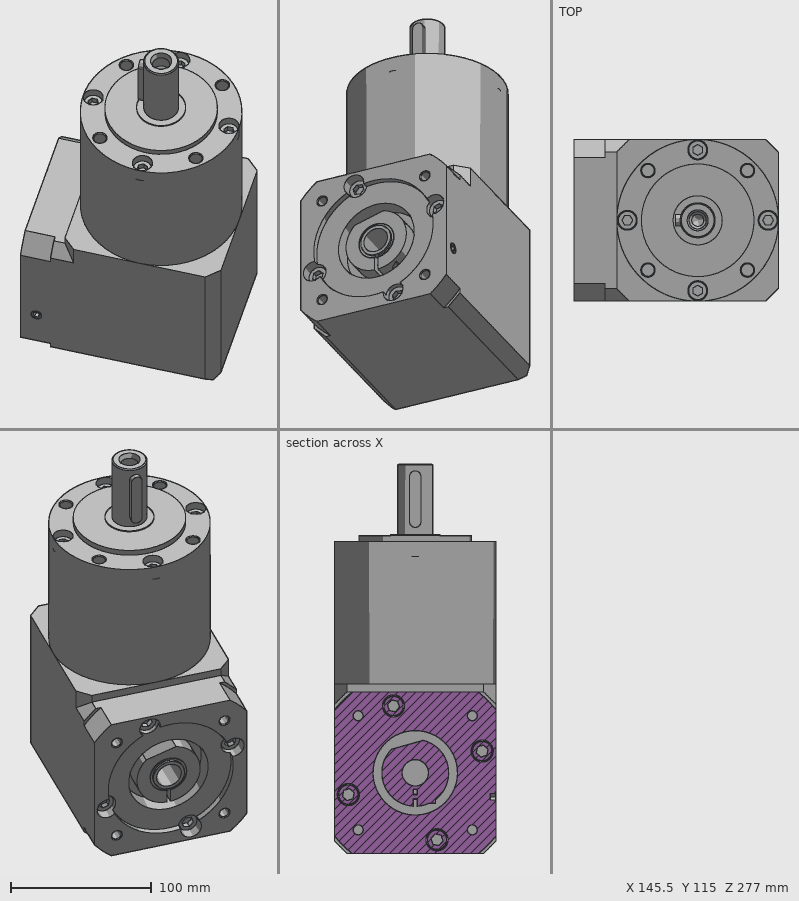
import cadquery as cq
import math


frame = 115.0
half_frame = frame / 2
overall_length = 145.5
input_z = half_frame
housing_top = 120.8
edge_chamfer = 9.1
shoulder_chamfer = 9.0
plate_front = half_frame - overall_length
plate_thickness = 22.2
plate_back = plate_front + plate_thickness
plate_corner_radius = 72.9

barrel_top = 222.0
pilot_diameter = 80.0
pilot_height = 4.2
pilot_top = barrel_top + pilot_height
seal_diameter = 35.0
seal_height = 0.8

shaft_diameter = 25.0
shaft_top = 277
shaft_chamfer = 0.8
key_width = 8.0
key_length = 40.2
key_bottom = 231.8
key_outer = 15.8
centre_mouth_diameter = 15.0
centre_bore_diameter = 12.2
centre_drill_diameter = 8.5
centre_mouth_depth = 3.5
centre_bore_depth = 12.5
centre_cone_depth = 14.0
centre_drill_depth = 25.0
centre_tip_depth = 27.5

bolt_circle_diameter = 100.0
bolt_circle_radius = bolt_circle_diameter / 2
flange_recess, flange_head, flange_hex = 14.0, 12.7, 6.6
flange_head_depth = 5.3
flange_hole_diameter = 9.0
flange_hole_depth = 16.5
plate_recess, plate_head, plate_hex = 15.5, 13.8, 7.5
plate_head_depth = 7.5
plate_screw_angle = 18.0
plate_hole_radius = 57.3
plate_hole_diameter = 7.0
hole_chamfer = 0.7
head_height = 5.5
hex_depth = 4.2

recess_diameter = 94.2
recess_depth = 4.7
well_diameter = 59.8
well_depth = 19.5
hub_diameter = 47.6
hub_setback = 4.5
hub_flat_offset = 20.8
hub_flat_angle = 15.7
sleeve_setback = 3.5
sleeve_diameter = 23.5
sleeve_bore_diameter = 18.5
sleeve_groove_diameter = 27.5
sleeve_groove_depth = 0.8
sleeve_bore_depth = 44.3
slot_width = 2.8

clamp_x = -76.2
clamp_z = 40.5
clamp_head_diameter = 9.5
clamp_head_end = -14.5
clamp_head_length = 7.0
clamp_shank_diameter = 4.0
clamp_shank_length = 22.2
plug_diameter = 7.8
plug_depth = 0.5
plug_hex = 4.5


def disc(diameter, bottom, top):
    """Cylinder on the Z axis between two heights."""
    return cq.Workplane("XY").workplane(offset=bottom).circle(diameter / 2).extrude(top - bottom)


def turned(profile):
    """Solid of revolution about Z from (radius, height) points."""
    return cq.Workplane("XZ").polyline(profile).close().revolve(360, (0, 0, 0), (0, 1, 0))


def hexagon(across_flats, depth):
    """Hexagonal prism reaching down from Z = 0."""
    return cq.Workplane("XY").polygon(6, across_flats / math.cos(math.pi / 6)).extrude(-depth)


def cap_screw_cut(recess, head, across_flats, head_depth):
    """Material removed around a sunk cap screw whose recess opens at Z = 0."""
    pocket = disc(recess, -head_depth - head_height, 0)
    screw_head = disc(head, -head_depth - head_height, -head_depth)
    return pocket.cut(screw_head).union(hexagon(across_flats, hex_depth).translate((0, 0, -head_depth)))


def chamfered_hole(diameter, depth):
    """Blind hole with a chamfered mouth, opening at Z = 0."""
    radius = diameter / 2
    mouth = radius + hole_chamfer
    return turned([(0, 0), (mouth, 0), (radius, -hole_chamfer), (radius, -depth), (0, -depth)])


def ring_of_four(tool, radius, start_angle):
    """Four copies of a tool on a circle around Z."""
    tools = cq.Workplane("XY")
    placed = tool.translate((radius, 0, 0))
    for index in range(4):
        tools = tools.add(placed.rotate((0, 0, 0), (0, 0, 1), start_angle + 90 * index))
    return tools.combine()


def onto_plate(tool):
    """Move a tool opening at Z = 0 so that it opens in the motor plate face."""
    return tool.rotate((0, 0, 0), (0, 1, 0), -90).translate((plate_front, 0, input_z))


def housing():
    """Rear block, shoulder under the barrel and horizontal neck that carries the motor plate."""
    block = cq.Workplane("XY").box(half_frame, frame, housing_top, centered=(False, True, False))
    rear = block
    for edges in ("|Z and >X", "|X and <Z", "|Y and >X and <Z"):
        rear = rear.intersect(block.edges(edges).chamfer(edge_chamfer))
    shoulder = cq.Workplane("XY").box(half_frame, frame, housing_top - input_z, centered=(False, True, False))
    shoulder = shoulder.translate((-half_frame, 0, input_z)).edges("|Z and <X").chamfer(shoulder_chamfer)
    neck = cq.Workplane("YZ").workplane(offset=plate_back).center(0, input_z)
    neck = neck.rect(frame, frame).extrude(-plate_back)
    neck = neck.edges("|X and >Z").chamfer(shoulder_chamfer)
    neck = neck.edges("|X and <Z").chamfer(edge_chamfer)
    return rear.union(shoulder).union(neck)


def motor_plate():
    """Square plate with its corners turned to a circle."""
    plane = cq.Workplane("YZ").workplane(offset=plate_front).center(0, input_z)
    square = plane.rect(frame, frame).extrude(plate_thickness)
    return square.intersect(plane.circle(plate_corner_radius).extrude(plate_thickness))


def output_side():
    """Barrel, pilot, seal ring and keyed shaft."""
    barrel = disc(frame, housing_top, barrel_top)
    pilot = disc(pilot_diameter, barrel_top, pilot_top)
    seal = disc(seal_diameter, pilot_top, pilot_top + seal_height)
    shaft = disc(shaft_diameter, pilot_top, shaft_top).faces(">Z").chamfer(shaft_chamfer)
    key = cq.Workplane("YZ").center(0, key_bottom + key_length / 2)
    key = key.slot2D(key_length, key_width, 90).extrude(-key_outer)
    return barrel.union(pilot).union(seal).union(shaft).union(key)


def centre_hole():
    """Stepped centre hole in the shaft end."""
    drill = centre_drill_diameter / 2
    bore = centre_bore_diameter / 2
    return turned([
        (0, shaft_top),
        (centre_mouth_diameter / 2, shaft_top),
        (bore, shaft_top - centre_mouth_depth),
        (bore, shaft_top - centre_bore_depth),
        (drill, shaft_top - centre_cone_depth),
        (drill, shaft_top - centre_drill_depth),
        (0, shaft_top - centre_tip_depth),
    ])


def hub():
    """Clamping hub with a side flat, a slot and a sleeve, for a plate face at Z = 0."""
    body = disc(hub_diameter, -well_depth, -hub_setback)
    flat = cq.Workplane("XY").box(hub_diameter, hub_diameter, 2 * well_depth)
    flat = flat.translate((hub_flat_offset + hub_diameter / 2, 0, 0))
    body = body.cut(flat.rotate((0, 0, 0), (0, 0, 1), hub_flat_angle))
    slot = cq.Workplane("XY").box(hub_diameter / 2, slot_width, well_depth, centered=(False, True, False))
    body = body.cut(slot.translate((-hub_diameter / 2, 0, -well_depth)))
    body = body.cut(disc(sleeve_groove_diameter, -hub_setback - sleeve_groove_depth, -hub_setback))
    return body.union(disc(sleeve_diameter, -well_depth, -sleeve_setback))


def motor_recess():
    """Pilot recess, annular well around the hub and motor shaft bore, opening at Z = 0."""
    recess = disc(recess_diameter, -recess_depth, 0)
    well = disc(well_diameter, -well_depth, 0)
    bore = disc(sleeve_bore_diameter, -sleeve_bore_depth, -sleeve_setback)
    return recess.union(well).cut(hub()).union(bore)


def clamp_screw():
    """Screw that closes the hub slot, lying along Y."""
    line = cq.Workplane("XZ", origin=(clamp_x, clamp_head_end, clamp_z))
    head = line.circle(clamp_head_diameter / 2).extrude(-clamp_head_length)
    return head.union(line.circle(clamp_shank_diameter / 2).extrude(-clamp_shank_length))


def access_plug_cut():
    """Sunk face and hexagon socket of the plug in the -Y side of the plate."""
    cut = disc(plug_diameter, -plug_depth, 0).union(hexagon(plug_hex, hex_depth))
    return cut.rotate((0, 0, 0), (1, 0, 0), 90).translate((clamp_x, -half_frame, clamp_z))


flange_screw = cap_screw_cut(flange_recess, flange_head, flange_hex, flange_head_depth)
flange_hole = chamfered_hole(flange_hole_diameter, flange_hole_depth)
flange_screws = ring_of_four(flange_screw, bolt_circle_radius, 0)
flange_holes = ring_of_four(flange_hole, bolt_circle_radius, 45)

plate_screw = cap_screw_cut(plate_recess, plate_head, plate_hex, plate_head_depth)
plate_hole = chamfered_hole(plate_hole_diameter, plate_thickness)
plate_screws = ring_of_four(plate_screw, bolt_circle_radius, plate_screw_angle)
plate_holes = ring_of_four(plate_hole, plate_hole_radius, 45)

result = housing().union(motor_plate()).union(output_side())
result = result.cut(centre_hole())
for flange_tool in (flange_screws, flange_holes):
    result = result.cut(flange_tool.translate((0, 0, barrel_top)))
for plate_tool in (motor_recess(), plate_screws, plate_holes):
    result = result.cut(onto_plate(plate_tool))
result = result.union(clamp_screw()).cut(access_plug_cut())